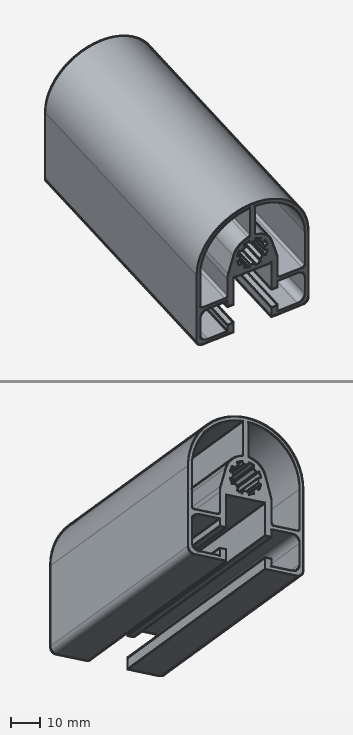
import cadquery as cq
import math

length = 100.0
width = 45.0
height = 55.0
wall = 1.5

half_width = width / 2
arch_center_z = height - half_width
outer_corner_radius = 2.5

slot_half_width = 7.6
leg_thickness = 2.5
leg_half_span = slot_half_width + leg_thickness
leg_bottom_z = 12.5
lip_top_z = 4.3
slot_roof_z = 24.7

chamber_top_z = 15.3
chamber_corner_radius = 3.0

web_top_z = chamber_top_z + wall
rib_width = 2.0
boss_center_z = arch_center_z
boss_radius = 8.0
boss_taper_angle = math.radians(16)
boss_shoulder_radius = 8.0
pocket_fillet = 1.0

tooth_tip_radius = 5.0
groove_depth_radius = 6.1
groove_width = 2.1
groove_count = 8


def extruded(section):
    return section.extrude(length)


def section_plane():
    """YZ section plane at one end: local x is Y, local y is Z."""
    return cq.Workplane("YZ").workplane(offset=-length / 2)


def box_section(y_min, y_max, z_min, z_max):
    center_y = (y_min + y_max) / 2
    center_z = (z_min + z_max) / 2
    return extruded(section_plane().center(center_y, center_z).rect(y_max - y_min, z_max - z_min))


def edges_between(body, z_min, z_max):
    """Lengthwise edges of a body whose height lies between two levels."""
    band = cq.selectors.BoxSelector((-length, -width, z_min), (length, width, z_max))
    return body.edges("|X").edges(band)


def arch(half_span, bottom_z):
    """Round-topped block concentric with the outer arch."""
    return extruded(
        section_plane()
        .moveTo(-half_span, bottom_z)
        .lineTo(half_span, bottom_z)
        .lineTo(half_span, arch_center_z)
        .threePointArc((0, arch_center_z + half_span), (-half_span, arch_center_z))
        .close()
    )


def boss_core():
    """Round boss top widening along tangent flanks into the straight slot legs."""
    tangent_y = boss_radius * math.cos(boss_taper_angle)
    tangent_z = boss_center_z + boss_radius * math.sin(boss_taper_angle)
    shoulder_drop = (leg_half_span - tangent_y) / math.tan(boss_taper_angle)
    shoulder_z = tangent_z - shoulder_drop
    core = extruded(
        section_plane()
        .moveTo(-leg_half_span, leg_bottom_z)
        .lineTo(leg_half_span, leg_bottom_z)
        .lineTo(leg_half_span, shoulder_z)
        .lineTo(tangent_y, tangent_z)
        .threePointArc((0, boss_center_z + boss_radius), (-tangent_y, tangent_z))
        .lineTo(-leg_half_span, shoulder_z)
        .close()
    )
    shoulders = edges_between(core, shoulder_z - pocket_fillet, shoulder_z + pocket_fillet)
    return shoulders.fillet(boss_shoulder_radius)


def upper_pockets():
    """Pair of voids between the arch, the web, the boss and the center rib."""
    rib = box_section(-rib_width / 2, rib_width / 2, boss_center_z, height)
    pockets = arch(half_width - wall, web_top_z).cut(boss_core()).cut(rib)
    web_corners = edges_between(pockets, web_top_z - pocket_fillet, web_top_z + pocket_fillet)
    pockets = web_corners.fillet(pocket_fillet)
    boss_top_z = boss_center_z + boss_radius
    rib_foot = edges_between(pockets, boss_top_z - pocket_fillet, boss_top_z + pocket_fillet)
    return rib_foot.fillet(pocket_fillet)


def lower_chamber():
    """Rounded channel behind the legs and lips."""
    inner_half_width = half_width - wall
    channel = box_section(-inner_half_width, inner_half_width, wall, chamber_top_z)
    channel = channel.edges("|X").fillet(chamber_corner_radius)
    for side in (-1, 1):
        y_min, y_max = sorted((side * slot_half_width, side * leg_half_span))
        channel = channel.cut(box_section(y_min, y_max, leg_bottom_z, chamber_top_z))
        channel = channel.cut(box_section(y_min, y_max, wall, lip_top_z))
    return channel


def screw_bore():
    """Round bore with parallel-sided radial grooves that leave short teeth between them."""
    axis_start = (0, 0, boss_center_z)
    axis_end = (1, 0, boss_center_z)
    groove = box_section(
        -groove_width / 2,
        groove_width / 2,
        boss_center_z,
        boss_center_z + groove_depth_radius,
    )
    bore = extruded(section_plane().center(0, boss_center_z).circle(tooth_tip_radius))
    for index in range(groove_count):
        angle = (index + 0.5) * 360 / groove_count
        bore = bore.union(groove.rotate(axis_start, axis_end, angle))
    return bore


profile = arch(half_width, 0)
profile = profile.edges("|X").edges("<Z").fillet(outer_corner_radius)
profile = profile.cut(upper_pockets())
profile = profile.cut(lower_chamber())
profile = profile.cut(box_section(-slot_half_width, slot_half_width, 0, slot_roof_z))
result = profile.cut(screw_bore())